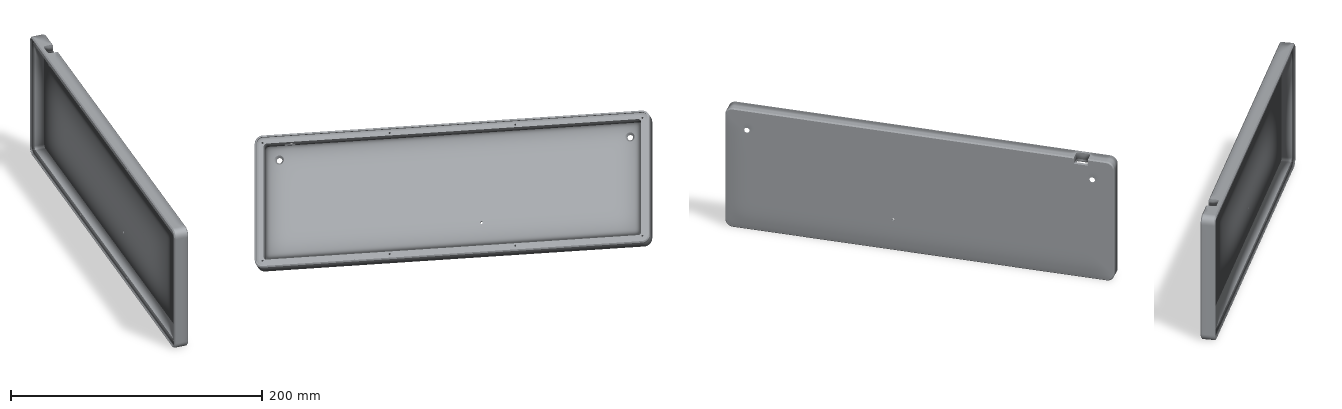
import cadquery as cq

length = 321.0
depth = 12.0
height = 110.7
corner_radius = 6.5
edge_chamfer = 1.0

lip_width = 1.5
seat_depth = 1.5

end_wall = 7.0
long_wall = 6.7
floor_thickness = 2.0
cavity_radius = 2.5

rim_hole_diameter = 1.5
rim_hole_depth = 6.5
middle_hole_x = 51.0
middle_hole_z = 50.7
corner_hole_x = 154.5
corner_hole_z = 49.5

mount_x = 142.5
mount_z = 37.0
mount_diameter = 4.5
countersink_diameter = 7.7

small_hole_x = 21.8
small_hole_z = -26.5
small_hole_diameter = 2.2

connector_x = -133.2
recess_width = 11.5
recess_front_y = -2.5
recess_depth = 5.8
recess_radius = 2.0
slot_width = 9.0
slot_height = 3.2
slot_y = 1.5

towards_back = cq.Vector(0, 1, 0)
back_y = depth / 2
front_y = -back_y
top_z = height / 2
seat_y = front_y + seat_depth
floor_y = back_y - floor_thickness
seat_length = length - 2 * lip_width
seat_height = height - 2 * lip_width
seat_radius = corner_radius - lip_width
cavity_length = length - 2 * end_wall
cavity_height = height - 2 * long_wall


def rounded_block(size_x, size_z, radius, start_y, end_y):
    """Block centred in X and Z, rounded along Y, between two Y positions."""
    block = cq.Workplane("XY").box(size_x, end_y - start_y, size_z)
    return block.edges("|Y").fillet(radius).translate((0, (start_y + end_y) / 2, 0))


def hole(x, z, diameter, start_y, end_y):
    """Cylinder along Y between two Y positions."""
    start = cq.Vector(x, start_y, z)
    cylinder = cq.Solid.makeCylinder(diameter / 2, end_y - start_y, start, towards_back)
    return cq.Workplane(cylinder)


def countersunk_hole(x, z):
    """Through hole in the floor with a 90 degree countersink on its inner face."""
    sink_depth = (countersink_diameter - mount_diameter) / 2
    cone = cq.Solid.makeCone(
        countersink_diameter / 2,
        mount_diameter / 2,
        sink_depth,
        cq.Vector(x, floor_y, z),
        towards_back,
    )
    return hole(x, z, mount_diameter, floor_y, back_y).union(cq.Workplane(cone))


def connector_cutout():
    """Recess sunk from the top and open to the back, plus the connector slot."""
    recess_length_y = back_y - recess_front_y
    recess = cq.Workplane("XY").box(recess_width, recess_length_y, recess_depth)
    recess = recess.edges("|Z and <Y").fillet(recess_radius)
    recess = recess.translate((connector_x, (recess_front_y + back_y) / 2, top_z - recess_depth / 2))
    slot = cq.Workplane("XY").box(slot_width, slot_height, long_wall)
    slot = slot.translate((connector_x, slot_y, top_z - long_wall / 2))
    return recess.union(slot)


tray = rounded_block(length, height, corner_radius, front_y, back_y)
tray = tray.faces("<Y or >Y").chamfer(edge_chamfer)
tray = tray.cut(rounded_block(seat_length, seat_height, seat_radius, front_y, seat_y))
tray = tray.cut(rounded_block(cavity_length, cavity_height, cavity_radius, seat_y, floor_y))

for x, z in ((middle_hole_x, middle_hole_z), (corner_hole_x, corner_hole_z)):
    for side_x in (-1, 1):
        for side_z in (-1, 1):
            tray = tray.cut(hole(side_x * x, side_z * z, rim_hole_diameter, seat_y, seat_y + rim_hole_depth))

for side_x in (-1, 1):
    tray = tray.cut(countersunk_hole(side_x * mount_x, mount_z))
tray = tray.cut(hole(small_hole_x, small_hole_z, small_hole_diameter, floor_y, back_y))

result = tray.cut(connector_cutout())